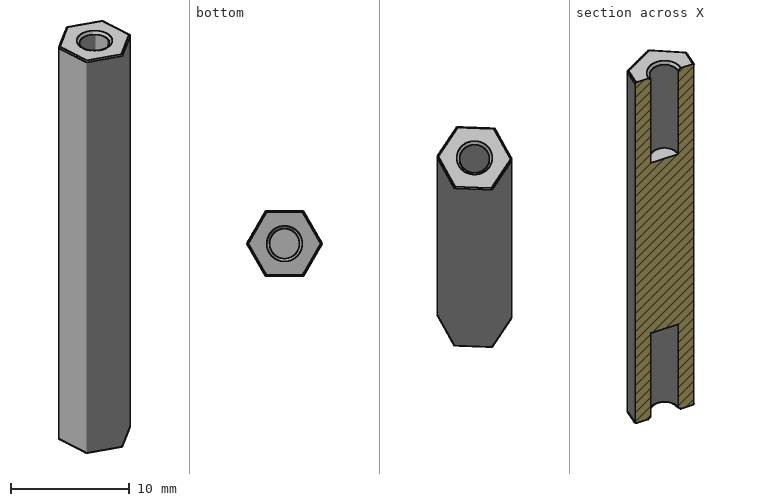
import cadquery as cq
import math

length = 40.0
across_flats = 5.5
across_corners = across_flats / math.cos(math.pi / 6)
corner_fillet = 0.15
rim_chamfer = 0.1

bore_diameter = 2.5
mouth_diameter = 3.0
bore_depth = 10.0
countersink_depth = (mouth_diameter - bore_diameter) / 2


def hexagonal_body():
    """Hexagonal bar with two flats facing -Y and +Y, softened along every outer edge."""
    bar = cq.Workplane("XY").polygon(6, across_corners).extrude(length)
    bar = bar.edges("|Z").fillet(corner_fillet)
    return bar.faces("<Z or >Z").edges().chamfer(rim_chamfer)


def top_bore():
    """Solid of revolution filling the upper blind bore and its countersink."""
    bore_radius = bore_diameter / 2
    return (
        cq.Workplane("XZ")
        .moveTo(0, length - bore_depth)
        .lineTo(bore_radius, length - bore_depth)
        .lineTo(bore_radius, length - countersink_depth)
        .lineTo(mouth_diameter / 2, length)
        .lineTo(0, length)
        .close()
        .revolve(360, (0, 0, 0), (0, 1, 0))
    )


upper_bore = top_bore()
lower_bore = upper_bore.mirror("XY", (0, 0, length / 2))
result = hexagonal_body().cut(upper_bore).cut(lower_bore)